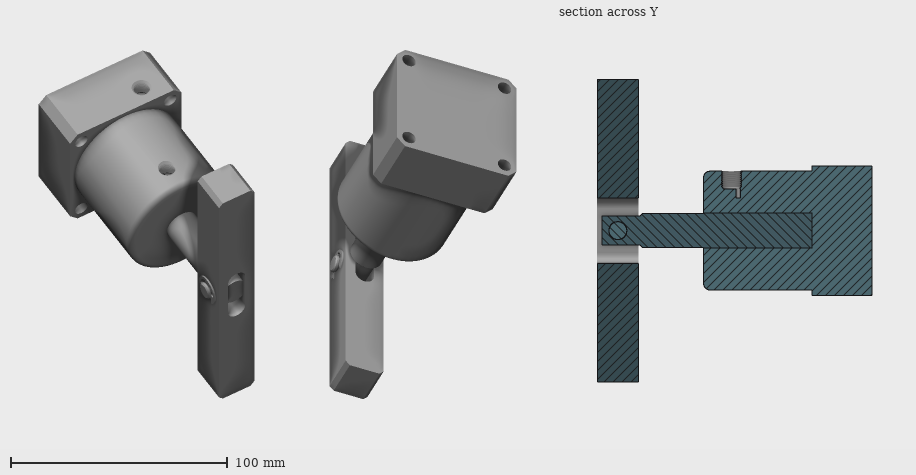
import cadquery as cq
import math


flange_side = 60.0
flange_length = 28.0
flange_chamfer = 4.0
mount_hole_diameter = 6.7
mount_hole_spacing = 48.0
barrel_diameter = 55.2
barrel_end = 78.0
barrel_fillet = 3.1

port_major_diameter = 9.2
port_minor_diameter = 7.7
port_pitch = 0.91
port_thread_turns = 8
port_depth = port_pitch * (port_thread_turns + 1)
rear_port_x = 19.0
rear_port_y = 14.0
front_port_x = 65.0
passage_diameter = 1.7
passage_depth = 4.2
front_passage_offset = 3.1

bar_length = 140.0
bar_width = 19.0
bar_chamfer = 2.1
bar_end = 127.0
bar_start = bar_end - bar_width
bar_slot_length = 30.0

rod_diameter = 16.0
rod_start = flange_length
rod_shoulder = 107.2
rod_chamfer = 1.1
tongue_thickness = 9.2
tongue_diameter = rod_diameter - 2 * rod_chamfer
tongue_setback = 2.1
tongue_end = bar_end - tongue_setback

pin_x = (bar_start + bar_end) / 2
pin_diameter = 8.0
pin_length = 23.8
pin_chamfer = 0.5

clip_diameter = 14.0
clip_thickness = 0.8
clip_bore_diameter = 7.0
clip_relief_diameter = 11.0
clip_lug_width = 3.1
clip_mouth_inner_width = 6.7
clip_mouth_outer_width = 8.4


def x_cylinder(diameter, start, end):
    """Cylinder on the X axis between two X positions."""
    return cq.Workplane("YZ").workplane(offset=start).circle(diameter / 2).extrude(end - start)


def y_cylinder(diameter, start, end):
    """Cylinder on the pivot axis between two Y positions."""
    disc = cq.Workplane("XZ", origin=(pin_x, start, 0)).circle(diameter / 2)
    return disc.extrude(start - end)


def threaded_port(x, y, top):
    """Flat-bottomed port cavity, open at height top, with a V-shaped groove for each thread turn."""
    crest = port_minor_diameter / 2
    root = port_major_diameter / 2
    outline = cq.Workplane("XZ").moveTo(0, 0).lineTo(root, 0)
    for turn in range(port_thread_turns):
        depth = turn * port_pitch
        outline = outline.lineTo(crest, -depth - port_pitch / 2)
        outline = outline.lineTo(root, -depth - port_pitch)
    outline = outline.lineTo(crest, -port_depth + port_pitch / 2)
    outline = outline.lineTo(crest, -port_depth).lineTo(0, -port_depth).close()
    return outline.revolve(360, (0, 0), (0, 1)).translate((x, y, top))


def air_passage(x, y, port_top):
    """Small hole that leads down from the floor of a port."""
    floor = port_top - port_depth
    return cq.Workplane("XY", origin=(x, y, floor)).circle(passage_diameter / 2).extrude(-passage_depth)


def make_housing():
    flange = cq.Workplane("YZ").rect(flange_side, flange_side).extrude(flange_length)
    flange = flange.edges("|X").chamfer(flange_chamfer)
    mount_holes = (
        cq.Workplane("YZ")
        .rect(mount_hole_spacing, mount_hole_spacing, forConstruction=True)
        .vertices()
        .circle(mount_hole_diameter / 2)
        .extrude(flange_length)
    )
    barrel = x_cylinder(barrel_diameter, flange_length, barrel_end)
    barrel = barrel.faces(">X").edges().fillet(barrel_fillet)
    body = flange.cut(mount_holes).union(barrel)
    body = body.cut(x_cylinder(rod_diameter, rod_start, barrel_end))

    flange_top = flange_side / 2
    barrel_top = barrel_diameter / 2
    body = body.cut(threaded_port(rear_port_x, rear_port_y, flange_top))
    body = body.cut(air_passage(rear_port_x, rear_port_y, flange_top))
    body = body.cut(threaded_port(front_port_x, 0, barrel_top))
    return body.cut(air_passage(front_port_x - front_passage_offset, 0, barrel_top))


def make_rod():
    shank = x_cylinder(rod_diameter, rod_start, rod_shoulder)
    shank = shank.faces(">X").edges().chamfer(rod_chamfer)
    flats = cq.Workplane("XY").box(2 * bar_end, tongue_thickness, tongue_diameter)
    tongue = x_cylinder(tongue_diameter, rod_shoulder, tongue_end).intersect(flats)
    return shank.union(tongue).cut(y_cylinder(pin_diameter, -bar_width, bar_width))


def make_crossbar():
    bar = cq.Workplane("XY").box(bar_width, bar_width, bar_length)
    bar = bar.edges("|X").chamfer(bar_chamfer).translate((pin_x, 0, 0))
    slot = (
        cq.Workplane("YZ")
        .workplane(offset=bar_start)
        .slot2D(bar_slot_length, tongue_thickness, 90)
        .extrude(bar_width)
    )
    return bar.cut(slot).cut(y_cylinder(pin_diameter, -bar_width, bar_width))


def make_pin():
    pin = y_cylinder(pin_diameter, -pin_length / 2, pin_length / 2)
    pin = pin.faces("<Y or >Y").edges().chamfer(pin_chamfer)
    for inner_y in clip_positions:
        outer_y = inner_y + clip_thickness
        groove = y_cylinder(pin_diameter, inner_y, outer_y)
        pin = pin.cut(groove.cut(y_cylinder(clip_bore_diameter, inner_y, outer_y)))
    return pin


def make_clip(start):
    """E-shaped clip, open downwards, that spans clip_thickness in Y from start."""
    end = start + clip_thickness
    radius = clip_diameter / 2
    clip = y_cylinder(clip_diameter, start, end).cut(y_cylinder(clip_bore_diameter, start, end))

    plane = cq.Workplane("XZ", origin=(pin_x, start, 0))
    relief_zone = plane.center(0, radius / 2).rect(clip_diameter, radius).extrude(-clip_thickness)
    lug = plane.center(0, radius / 2).rect(clip_lug_width, radius).extrude(-clip_thickness)
    relief = y_cylinder(clip_relief_diameter, start, end).intersect(relief_zone).cut(lug)

    grip_z = -math.sqrt(clip_bore_diameter**2 - clip_mouth_inner_width**2) / 2
    mouth = (
        cq.Workplane("XZ", origin=(pin_x, start, 0))
        .moveTo(-clip_mouth_inner_width / 2, grip_z)
        .lineTo(clip_mouth_inner_width / 2, grip_z)
        .lineTo(clip_mouth_outer_width / 2, -radius)
        .lineTo(-clip_mouth_outer_width / 2, -radius)
        .close()
        .extrude(-clip_thickness)
    )
    return clip.cut(relief).cut(mouth)


clip_positions = [-bar_width / 2 - clip_thickness, bar_width / 2]

housing = make_housing()
rod = make_rod()
crossbar = make_crossbar()
pin = make_pin()
clips = [make_clip(start).val() for start in clip_positions]

result = cq.Compound.makeCompound([housing.val(), rod.val(), crossbar.val(), pin.val(), *clips])